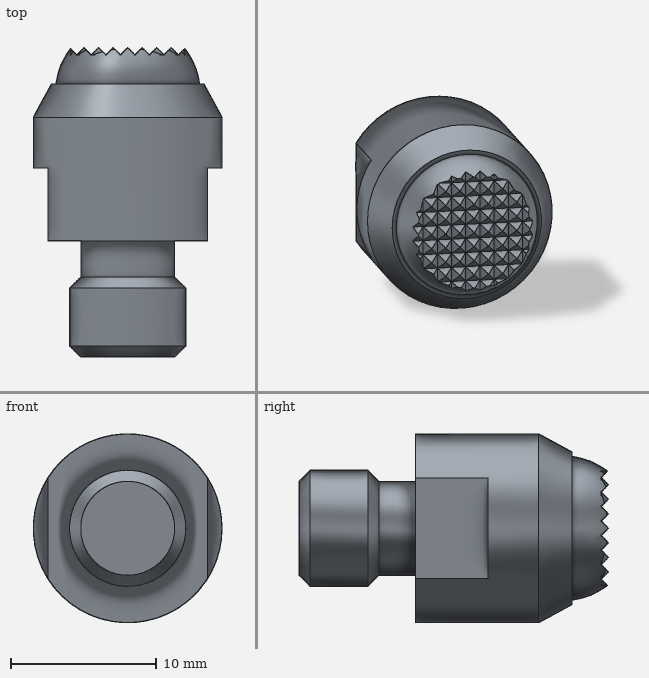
import cadquery as cq
import math


stud_diameter = 8.0
neck_diameter = 6.47
stud_length = 8.0
neck_length = 2.5

body_diameter = 13.0
body_straight_length = 8.5
body_length = 10.8
cone_top_diameter = 10.5
flat_width = 11.0
flat_length = 5.0

ball_diameter = 10.0
ball_center_y = 10.15
face_y = 13.3

tooth_pitch = 1.0
groove_angle = 90.0
grooves_per_side = 4

stud_radius = stud_diameter / 2
neck_radius = neck_diameter / 2
body_radius = body_diameter / 2
ball_radius = ball_diameter / 2
stud_chamfer = stud_radius - neck_radius
groove_depth = tooth_pitch / 2 / math.tan(math.radians(groove_angle / 2))


def ball_radius_at(y):
    """Radius of the ball section at height y."""
    return math.sqrt(ball_radius**2 - (y - ball_center_y) ** 2)


def make_turned_blank():
    """Stud, body and truncated ball, revolved about the Y axis."""
    arc_middle_y = (body_length + face_y) / 2
    return (
        cq.Workplane("XY")
        .moveTo(0, -stud_length)
        .lineTo(neck_radius, -stud_length)
        .lineTo(stud_radius, -stud_length + stud_chamfer)
        .lineTo(stud_radius, -neck_length - stud_chamfer)
        .lineTo(neck_radius, -neck_length)
        .lineTo(neck_radius, 0)
        .lineTo(body_radius, 0)
        .lineTo(body_radius, body_straight_length)
        .lineTo(cone_top_diameter / 2, body_length)
        .lineTo(ball_radius_at(body_length), body_length)
        .threePointArc((ball_radius_at(arc_middle_y), arc_middle_y), (ball_radius_at(face_y), face_y))
        .lineTo(0, face_y)
        .close()
        .revolve(360, (0, 0, 0), (0, 1, 0))
    )


def cut_wrench_flats(part):
    """Mill the two parallel flats on the shoulder end of the body."""
    for side in (-1, 1):
        cutter = cq.Workplane("XY").box(body_radius, flat_length, body_diameter, centered=(True, False, True))
        part = part.cut(cutter.translate((side * (flat_width + body_radius) / 2, 0, 0)))
    return part


def make_groove(offset):
    """V groove cutter along Z, at the given X offset from the axis."""
    half_width = tooth_pitch / 2
    return (
        cq.Workplane("XY")
        .moveTo(offset - half_width, face_y)
        .lineTo(offset, face_y - groove_depth)
        .lineTo(offset + half_width, face_y)
        .close()
        .extrude(ball_radius, both=True)
    )


def cut_serration(part):
    """Cut the crossed V grooves into the contact face."""
    for index in range(2 * grooves_per_side):
        offset = (index - grooves_per_side + 0.5) * tooth_pitch
        groove = make_groove(offset)
        part = part.cut(groove)
        part = part.cut(groove.rotate((0, 0, 0), (0, 1, 0), 90))
    return part


result = cut_serration(cut_wrench_flats(make_turned_blank()))